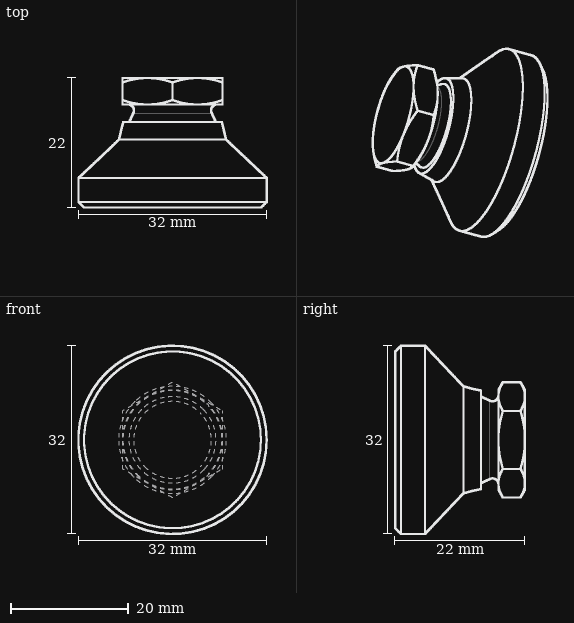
import cadquery as cq
import math

rim_chamfer = 1.0
rim_end = 5.05
cone_end = 11.55
collar_end = 14.55
neck_cone_end = 16.0
nut_start = 17.5
total_length = 22.0

foot_radius = 16.0
collar_base_radius = 9.12
collar_top_radius = 8.4
neck_base_radius = 7.35
groove_radius = 6.55
groove_fillet = 1.0
neck_top_radius = groove_radius + groove_fillet
groove_center = nut_start - groove_fillet
neck_radius = neck_top_radius - math.sqrt(groove_fillet**2 - (groove_center - neck_cone_end) ** 2)

across_flats = 17.0
nut_chamfer_angle = 30.0
nut_face_radius = across_flats / 2


def make_foot():
    """Foot, collar and grooved neck, turned about the Y axis."""
    return (
        cq.Workplane("XY")
        .lineTo(foot_radius - rim_chamfer, 0)
        .lineTo(foot_radius, rim_chamfer)
        .lineTo(foot_radius, rim_end)
        .lineTo(collar_base_radius, cone_end)
        .lineTo(collar_top_radius, collar_end)
        .lineTo(neck_base_radius, collar_end)
        .lineTo(neck_radius, neck_cone_end)
        .threePointArc((groove_radius, groove_center), (neck_top_radius, nut_start))
        .lineTo(0, nut_start)
        .close()
        .revolve(360, (0, 0, 0), (0, 1, 0))
    )


def make_nut():
    """Hexagonal head with its corners turned off by a cone at both ends."""
    corner_radius = across_flats / math.sqrt(3)
    chamfer_length = (corner_radius - nut_face_radius) * math.tan(math.radians(nut_chamfer_angle))
    corners = []
    for index in range(6):
        angle = math.radians(90 + 60 * index)
        corners.append((corner_radius * math.cos(angle), corner_radius * math.sin(angle)))
    hexagon = (
        cq.Workplane("XZ", origin=(0, nut_start, 0))
        .polyline(corners)
        .close()
        .extrude(nut_start - total_length)
    )
    chamfer_envelope = (
        cq.Workplane("XY")
        .moveTo(0, nut_start)
        .lineTo(nut_face_radius, nut_start)
        .lineTo(corner_radius, nut_start + chamfer_length)
        .lineTo(corner_radius, total_length - chamfer_length)
        .lineTo(nut_face_radius, total_length)
        .lineTo(0, total_length)
        .close()
        .revolve(360, (0, 0, 0), (0, 1, 0))
    )
    return hexagon.intersect(chamfer_envelope)


result = make_foot().union(make_nut())